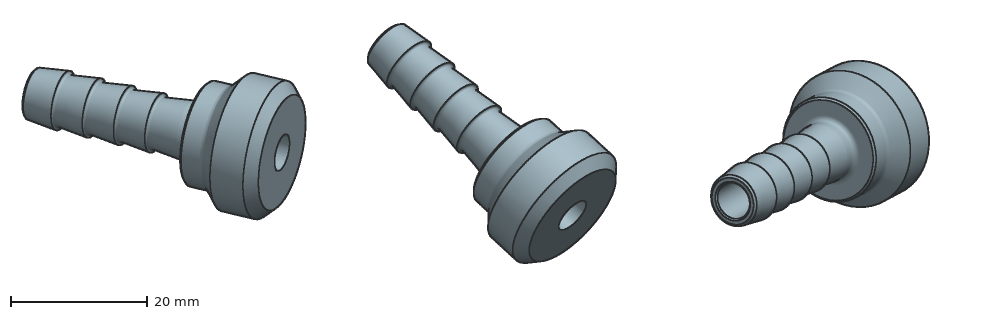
import cadquery as cq

length = 40
bore_radius = 5.5 / 2
barb_radius = 9.0 / 2
collar_radius = 16 / 2
head_radius = 20.9 / 2

tooth_count = 5
tooth_pitch = 5.0
tooth_height = 0.6
root_radius = barb_radius - tooth_height
root_fillet = 0.4
tip_chamfer = 0.3
bore_chamfer = 0.25

collar_start = 27.0
collar_chamfer = 0.3
neck_fillet = 0.8
head_fillet = 0.8
head_start = 33.0
head_chamfer = 1.7
head_cone_start = head_start - (head_radius - collar_radius)

SELECT_TOLERANCE = 0.005


def turned_blank():
    """Revolve the outer outline with sharp corners around the X axis."""
    outline = cq.Workplane("XY").moveTo(0, 0).lineTo(0, root_radius)
    for tooth in range(1, tooth_count + 1):
        crest = tooth * tooth_pitch
        outline = outline.lineTo(crest, barb_radius)
        if tooth < tooth_count:
            outline = outline.lineTo(crest, root_radius)
    outline = (
        outline
        .lineTo(collar_start, barb_radius)
        .lineTo(collar_start, collar_radius)
        .lineTo(head_cone_start, collar_radius)
        .lineTo(head_start, head_radius)
        .lineTo(length, head_radius)
        .lineTo(length, 0)
        .close()
    )
    return outline.revolve(360, (0, 0, 0), (1, 0, 0))


def ring(body, x, radius):
    """Select the circular edge of the given radius in the plane at x."""
    def in_range(edge):
        return (
            edge.geomType() == "CIRCLE"
            and abs(edge.Center().x - x) < SELECT_TOLERANCE
            and abs(edge.radius() - radius) < SELECT_TOLERANCE
        )

    return body.edges().filter(in_range)


body = turned_blank()

for tooth in range(1, tooth_count):
    body = ring(body, tooth * tooth_pitch, root_radius).fillet(root_fillet)
body = ring(body, collar_start, barb_radius).fillet(neck_fillet)
body = ring(body, head_cone_start, collar_radius).fillet(head_fillet)

body = ring(body, 0, root_radius).chamfer(tip_chamfer)
body = ring(body, collar_start, collar_radius).chamfer(collar_chamfer)
body = ring(body, length, head_radius).chamfer(head_chamfer)

body = body.cut(cq.Workplane("YZ").circle(bore_radius).extrude(length))
body = ring(body, 0, bore_radius).chamfer(bore_chamfer)

result = body